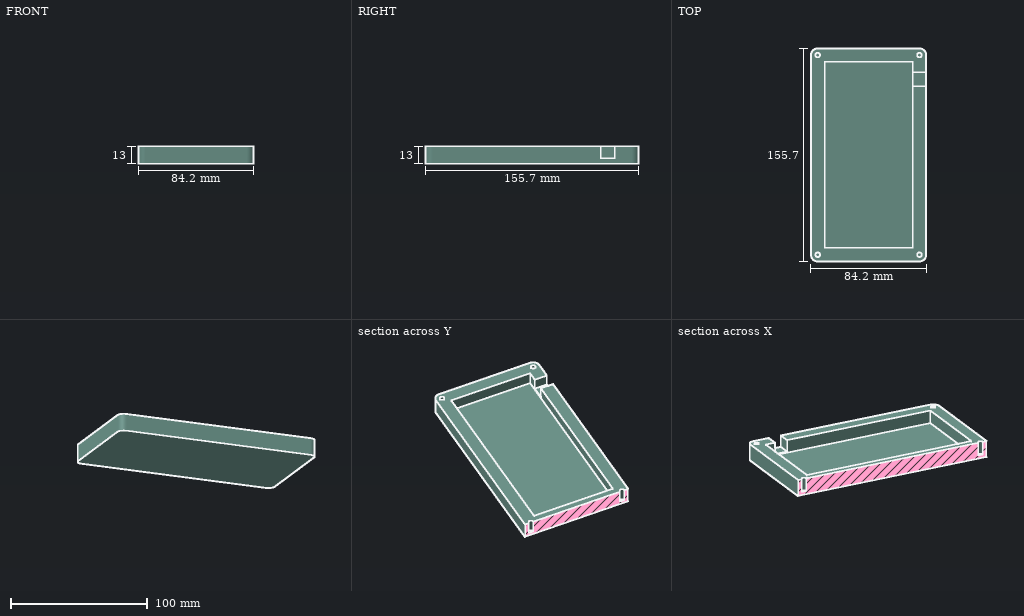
import cadquery as cq

width = 84.2
length = 155.7
height = 13.0
corner_radius = 5.0

wall = 10.0
floor = 3.0

notch_width = 10.0
notch_from_end = 17.6
notch_step = 1.0
notch_floor = floor + notch_step

hole_diameter = 3.5
hole_inset = corner_radius
hole_depth = height - floor


def tray_body():
    """Rounded block resting on Z = 0 and centred in X and Y."""
    block = cq.Workplane("XY").box(width, length, height, centered=(True, True, False))
    return block.edges("|Z").fillet(corner_radius)


def pocket():
    """Sharp-cornered recess that leaves an even wall all round."""
    return (
        cq.Workplane("XY")
        .workplane(offset=floor)
        .rect(width - 2 * wall, length - 2 * wall)
        .extrude(height - floor)
    )


def notch():
    """Open-topped channel, just above the pocket floor, from the pocket out through the +X wall."""
    center_x = (width - wall) / 2
    center_y = length / 2 - notch_from_end - notch_width / 2
    return (
        cq.Workplane("XY")
        .workplane(offset=notch_floor)
        .center(center_x, center_y)
        .rect(wall, notch_width)
        .extrude(height - notch_floor)
    )


def screw_holes():
    """Four vertical blind holes, one in each corner."""
    return (
        cq.Workplane("XY")
        .workplane(offset=height - hole_depth)
        .rect(width - 2 * hole_inset, length - 2 * hole_inset, forConstruction=True)
        .vertices()
        .circle(hole_diameter / 2)
        .extrude(hole_depth)
    )


result = tray_body().cut(pocket()).cut(notch()).cut(screw_holes())